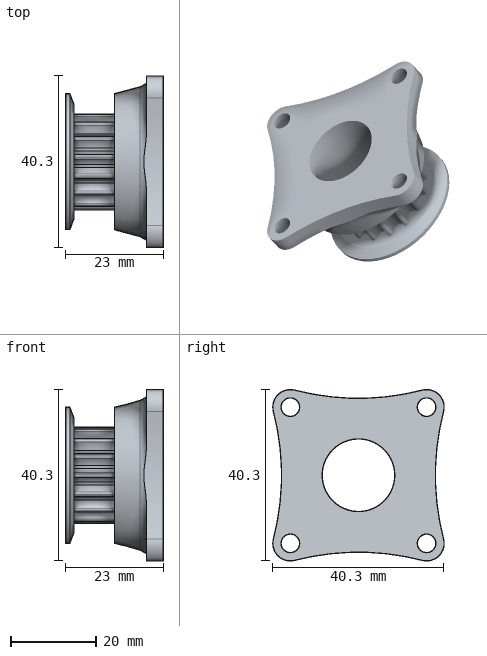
import cadquery as cq
import math

total_length = 23.0
x_end = -total_length / 2
rim_width = 1.0
guide_width = 2.0
belt_width = 9.5
plate_thickness = 4.0
x_guide = x_end + guide_width
x_hub = x_guide + belt_width
x_back = total_length / 2
x_plate = x_back - plate_thickness

bore_diameter = 17.0
guide_diameter = 32.0
guide_inner_diameter = 27.0
hub_diameter = 32.0
hub_draft = 15.0
hub_fillet = 2.0

tooth_count = 15
tip_radius = 11.37
root_radius = 9.3
flank_end_radius = 10.975
tip_half_angle = 0.78
flank_end_angle = 3.03
root_half_angle = 2.3
tip_round = 0.43
flank_round = 1.8

hole_spacing = 32.0
hole_diameter = 4.3
ear_radius = 4.15
waist_half_width = 18.1


def polar(radius, degrees):
    """Point at a radius and angle from the pulley axis."""
    angle = math.radians(degrees)
    return radius * math.cos(angle), radius * math.sin(angle)


def quarter_turned(y, z, quarters):
    """Point (y, z) turned about the origin by a number of quarter turns."""
    for _ in range(quarters):
        y, z = -z, y
    return y, z


def make_belt_guide():
    """End disc with a short cylindrical rim and a conical face towards the teeth."""
    profile = [
        (x_end, 0),
        (x_end, guide_diameter / 2),
        (x_end + rim_width, guide_diameter / 2),
        (x_guide, guide_inner_diameter / 2),
        (x_guide, 0),
    ]
    return cq.Workplane("XY").polyline(profile).close().revolve(360, (0, 0, 0), (1, 0, 0))


def make_teeth():
    """Belt teeth with rounded tips, concave flanks and a narrow root; one tooth points along -Y."""
    pitch = 360 / tooth_count
    first_tooth = 180.0
    outline = cq.Workplane("YZ", origin=(x_guide, 0, 0))
    outline = outline.moveTo(*polar(tip_radius, first_tooth - tip_half_angle))
    for index in range(tooth_count):
        tooth = first_tooth + index * pitch
        root = tooth + pitch / 2
        next_tooth = tooth + pitch
        outline = (
            outline
            .threePointArc(polar(tip_radius, tooth), polar(tip_radius, tooth + tip_half_angle))
            .radiusArc(polar(flank_end_radius, tooth + flank_end_angle), -tip_round)
            .radiusArc(polar(root_radius, root - root_half_angle), flank_round)
            .threePointArc(polar(root_radius, root), polar(root_radius, root + root_half_angle))
            .radiusArc(polar(flank_end_radius, next_tooth - flank_end_angle), flank_round)
            .radiusArc(polar(tip_radius, next_tooth - tip_half_angle), -tip_round)
        )
    return outline.close().extrude(belt_width)


def make_plate(x_start):
    """Four-eared plate from x_start to the back, with concave sides tangent to the ear arcs."""
    ear = hole_spacing / 2
    side_radius = (waist_half_width**2 + 2 * ear**2 - 2 * waist_half_width * ear - ear_radius**2) / (
        2 * (ear_radius - waist_half_width + ear)
    )
    side_centre = waist_half_width + side_radius
    share = ear_radius / (side_radius + ear_radius)
    touch_out = ear + share * (side_centre - ear)
    touch_along = ear - share * ear
    ear_tip = ear + ear_radius / math.sqrt(2)

    outline = cq.Workplane("YZ", origin=(x_start, 0, 0)).moveTo(touch_out, -touch_along)
    for quarter in range(4):
        waist = quarter_turned(waist_half_width, 0, quarter)
        ear_start = quarter_turned(touch_out, touch_along, quarter)
        ear_middle = quarter_turned(ear_tip, ear_tip, quarter)
        ear_end = quarter_turned(touch_along, touch_out, quarter)
        outline = outline.threePointArc(waist, ear_start).threePointArc(ear_middle, ear_end)
    return outline.close().extrude(x_back - x_start)


def make_hub():
    """Drafted hub that flares into the plate through a concave fillet."""
    draft = math.radians(hub_draft)
    radius_at_plate = hub_diameter / 2 + (x_plate - x_hub) * math.tan(draft)
    centre_x = x_plate - hub_fillet
    centre_r = radius_at_plate - hub_fillet * math.tan(draft) + hub_fillet / math.cos(draft)
    cone_end = (centre_x + hub_fillet * math.sin(draft), centre_r - hub_fillet * math.cos(draft))
    middle = (math.pi / 2 - draft) / 2
    fillet_middle = (centre_x + hub_fillet * math.cos(middle), centre_r - hub_fillet * math.sin(middle))
    flare = (
        cq.Workplane("XY")
        .moveTo(x_hub, 0)
        .lineTo(x_hub, hub_diameter / 2)
        .lineTo(*cone_end)
        .threePointArc(fillet_middle, (x_plate, centre_r))
        .lineTo(x_back, centre_r)
        .lineTo(x_back, 0)
        .close()
        .revolve(360, (0, 0, 0), (1, 0, 0))
    )
    return flare.intersect(make_plate(x_hub))


def make_holes():
    """Through bore and the four mounting holes."""
    bore = cq.Workplane("YZ", origin=(x_end, 0, 0)).circle(bore_diameter / 2).extrude(total_length)
    mounting = (
        cq.Workplane("YZ", origin=(x_plate, 0, 0))
        .rect(hole_spacing, hole_spacing, forConstruction=True)
        .vertices()
        .circle(hole_diameter / 2)
        .extrude(plate_thickness)
    )
    return bore.union(mounting)


body = make_belt_guide().union(make_teeth()).union(make_hub()).union(make_plate(x_plate))
result = body.cut(make_holes())